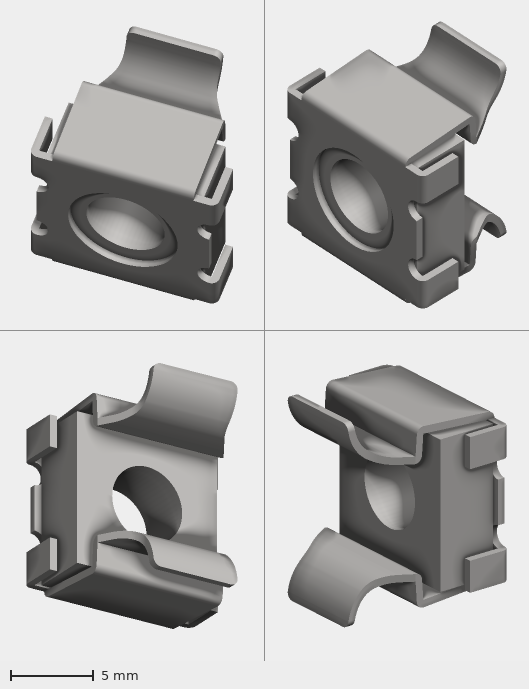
import cadquery as cq
import math


sheet = 0.5
plate_width = 11.0
plate_height = 10.21
clearance_hole_d = 7.0

tab_span = 12.0
tab_depth = 3.0
tab_inner_z = 3.0
notch_radius = 0.75

arm_width = 9.0
roof_angle = math.radians(4)
overall_height = 13.4
overall_depth = 10.0
ledge_start_y = 6.0
ledge_bottom_z = 3.6
tip_width = 6.0
tip_corner_radius = 0.5
taper_end_y = 8.5
taper_blend_radius = 2.01

nut_size = 10.0
nut_thickness = 4.0
bore_d = 5.0


def make_plate():
    """Face plate with its clearance hole and four half-round edge notches."""
    plate = cq.Workplane("XY").box(plate_width, sheet, plate_height, centered=(True, False, True))
    hole = cq.Workplane("XZ").circle(clearance_hole_d / 2).extrude(-sheet)
    notch_z = tab_inner_z - notch_radius
    centers = [(sx * plate_width / 2, sz * notch_z) for sx in (-1, 1) for sz in (-1, 1)]
    notches = cq.Workplane("XZ").pushPoints(centers).circle(notch_radius).extrude(-sheet)
    return plate.cut(hole).cut(notches)


def make_tab(side_x, side_z):
    """L-shaped corner tab: sharp inside, rounded by one sheet thickness outside."""
    outer_x = tab_span / 2
    inner_x = outer_x - sheet
    root_x = plate_width / 2 - notch_radius
    diagonal = sheet * math.sqrt(0.5)
    height = plate_height / 2 - tab_inner_z
    tab = (
        cq.Workplane("XY")
        .workplane(offset=tab_inner_z)
        .moveTo(root_x, 0)
        .lineTo(inner_x, 0)
        .threePointArc((inner_x + diagonal, sheet - diagonal), (outer_x, sheet))
        .lineTo(outer_x, tab_depth)
        .lineTo(inner_x, tab_depth)
        .lineTo(inner_x, sheet)
        .lineTo(root_x, sheet)
        .close()
        .extrude(height)
    )
    if side_x < 0:
        tab = tab.mirror("YZ")
    if side_z < 0:
        tab = tab.mirror("XY")
    return tab


def polar(center, angle, radius=sheet):
    """Point in the YZ plane at an angle measured from +Y towards +Z."""
    return (center[0] + radius * math.cos(angle), center[1] + radius * math.sin(angle))


def make_arm_strip():
    """Constant-width upper arm: sloped roof, drop leg, ledge and curved hook."""
    right_angle = math.pi / 2
    front_bend = (sheet, plate_height / 2)
    ledge_bend = (ledge_start_y, ledge_bottom_z + sheet)
    span_y = ledge_bend[0] - front_bend[0]
    span_z = ledge_bend[1] - front_bend[1]
    roof_length = span_y * math.cos(roof_angle) + span_z * math.sin(roof_angle) - sheet
    rear_bend = polar(front_bend, roof_angle, roof_length)

    hook_radius = overall_height / 2 - ledge_bottom_z
    hook_center = (overall_depth - hook_radius, overall_height / 2)
    hook_inner_radius = hook_radius - sheet
    roof_normal = roof_angle + right_angle
    leg_normal = roof_angle + math.pi

    return (
        cq.Workplane("YZ")
        .moveTo(*front_bend)
        .lineTo(*rear_bend)
        .lineTo(*polar(ledge_bend, leg_normal))
        .threePointArc(
            polar(ledge_bend, (leg_normal + 3 * right_angle) / 2), polar(ledge_bend, -right_angle)
        )
        .lineTo(hook_center[0], ledge_bottom_z)
        .threePointArc(
            polar(hook_center, -right_angle / 2, hook_radius), polar(hook_center, 0, hook_radius)
        )
        .lineTo(*polar(hook_center, 0, hook_inner_radius))
        .threePointArc(
            polar(hook_center, -right_angle / 2, hook_inner_radius),
            polar(hook_center, -right_angle, hook_inner_radius),
        )
        .lineTo(*ledge_bend)
        .lineTo(*polar(rear_bend, roof_angle))
        .threePointArc(polar(rear_bend, roof_angle + right_angle / 2), polar(rear_bend, roof_normal))
        .lineTo(*polar(front_bend, roof_normal))
        .threePointArc(polar(front_bend, (roof_normal + math.pi) / 2), polar(front_bend, math.pi))
        .close()
        .extrude(arm_width / 2, both=True)
    )


def make_arm():
    """Upper arm with its hook tapered in plan and its tip corners rounded."""
    plan = (
        cq.Workplane("XY")
        .moveTo(-arm_width / 2, 0)
        .lineTo(arm_width / 2, 0)
        .lineTo(arm_width / 2, ledge_start_y)
        .lineTo(tip_width / 2, taper_end_y)
        .lineTo(tip_width / 2, overall_depth)
        .lineTo(-tip_width / 2, overall_depth)
        .lineTo(-tip_width / 2, taper_end_y)
        .lineTo(-arm_width / 2, ledge_start_y)
        .close()
        .extrude(overall_height)
    )
    blend_points = [(side * tip_width / 2, taper_end_y, overall_height / 2) for side in (-1, 1)]
    for point in blend_points:
        plan = plan.edges(cq.selectors.NearestToPointSelector(point)).fillet(taper_blend_radius)
    return make_arm_strip().intersect(plan).faces(">Z").edges("|Y").fillet(tip_corner_radius)


def make_clip():
    """Sheet-metal clip: plate, four tabs and two mirrored spring arms."""
    body = make_plate()
    for side_x in (-1, 1):
        for side_z in (-1, 1):
            body = body.union(make_tab(side_x, side_z))
    arm = make_arm()
    return body.union(arm).union(arm.mirror("XY"))


def make_nut():
    """Square nut seated against the back of the plate, with a plain bore."""
    nut = cq.Workplane("XY").box(nut_size, nut_thickness, nut_size, centered=(True, False, True))
    bore = cq.Workplane("XZ").circle(bore_d / 2).extrude(-nut_thickness)
    return nut.cut(bore).translate((0, sheet, 0))


clip = make_clip()
nut = make_nut()
result = cq.Compound.makeCompound([clip.val(), nut.val()])